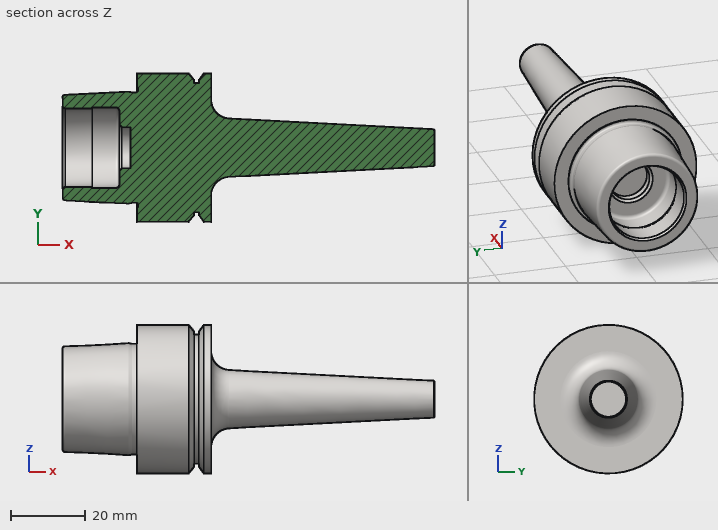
import cadquery as cq
import math

shank_length = 20.0
flange_length = 20.0
arbor_length = 60.0

taper_length = 17.8
taper_large_radius = 15.1
taper_slope = 0.05
nose_fillet = 0.8
neck_radius = 14.9
neck_chamfer_length = 0.9
neck_fillet = 0.6
undercut_radius = 16.0
undercut_depth = 0.3

flange_radius = 20.0
groove_radius = 17.4
groove_wall_radius = 18.2
groove_start = 15.4
groove_width = 1.3
front_chamfer_length = 1.3
back_chamfer_length = 1.5

arbor_half_angle = math.radians(3)
tip_radius = 5.0
tip_chamfer = 0.3
root_fillet = 5.0

bore_radius = 10.5
mouth_chamfer_width = 0.45
mouth_chamfer_length = 0.8
bore_straight_depth = 8.0
relief_radius = 10.8
relief_fillet = 1.0
bore_depth = 15.3
pilot_mouth_radius = 6.2
pilot_radius = 5.5
pilot_depth = 3.0

shank_end = -flange_length - shank_length
flange_back = -flange_length


def revolve_about_x(profile):
    return profile.close().revolve(360, (0, 0, 0), (1, 0, 0))


def make_body():
    nose_radius = taper_large_radius - taper_slope * (taper_length - nose_fillet)
    taper_end = shank_end + taper_length
    undercut_floor = flange_back + undercut_depth
    groove_left = flange_back + groove_start
    groove_right = groove_left + groove_width

    slope = math.tan(arbor_half_angle)
    root_centre_radius = (
        tip_radius + (arbor_length - root_fillet) * slope + root_fillet / math.cos(arbor_half_angle)
    )

    def root_point(angle):
        return (
            root_fillet * (1 - math.sin(angle)),
            root_centre_radius - root_fillet * math.cos(angle),
        )

    root_mid_angle = (math.pi / 2 + arbor_half_angle) / 2
    profile = (
        cq.Workplane("XY")
        .moveTo(shank_end, 0)
        .lineTo(shank_end, nose_radius - nose_fillet)
        .tangentArcPoint((shank_end + nose_fillet, nose_radius), relative=False)
        .lineTo(taper_end, taper_large_radius)
        .lineTo(taper_end + neck_chamfer_length, neck_radius)
        .lineTo(undercut_floor - neck_fillet, neck_radius)
        .tangentArcPoint((undercut_floor, neck_radius + neck_fillet), relative=False)
        .lineTo(undercut_floor, undercut_radius)
        .lineTo(flange_back, undercut_radius)
        .lineTo(flange_back, flange_radius)
        .lineTo(groove_left - back_chamfer_length, flange_radius)
        .lineTo(groove_left, groove_wall_radius)
        .lineTo(groove_left, groove_radius)
        .lineTo(groove_right, groove_radius)
        .lineTo(groove_right, groove_wall_radius)
        .lineTo(groove_right + front_chamfer_length, flange_radius)
        .lineTo(0, flange_radius)
        .lineTo(0, root_centre_radius)
        .threePointArc(root_point(root_mid_angle), root_point(arbor_half_angle))
        .lineTo(arbor_length - tip_chamfer, tip_radius + tip_chamfer * slope)
        .lineTo(arbor_length, tip_radius - tip_chamfer)
        .lineTo(arbor_length, 0)
    )
    return revolve_about_x(profile)


def make_bore():
    floor = shank_end + bore_depth
    pilot_chamfer = pilot_mouth_radius - pilot_radius
    profile = (
        cq.Workplane("XY")
        .moveTo(shank_end, 0)
        .lineTo(shank_end, bore_radius + mouth_chamfer_width)
        .lineTo(shank_end + mouth_chamfer_length, bore_radius)
        .lineTo(shank_end + bore_straight_depth, bore_radius)
        .lineTo(shank_end + bore_straight_depth, relief_radius)
        .lineTo(floor - relief_fillet, relief_radius)
        .tangentArcPoint((floor, relief_radius - relief_fillet), relative=False)
        .lineTo(floor, pilot_mouth_radius)
        .lineTo(floor + pilot_chamfer, pilot_radius)
        .lineTo(floor + pilot_depth, pilot_radius)
        .lineTo(floor + pilot_depth, 0)
    )
    return revolve_about_x(profile)


result = make_body().cut(make_bore())